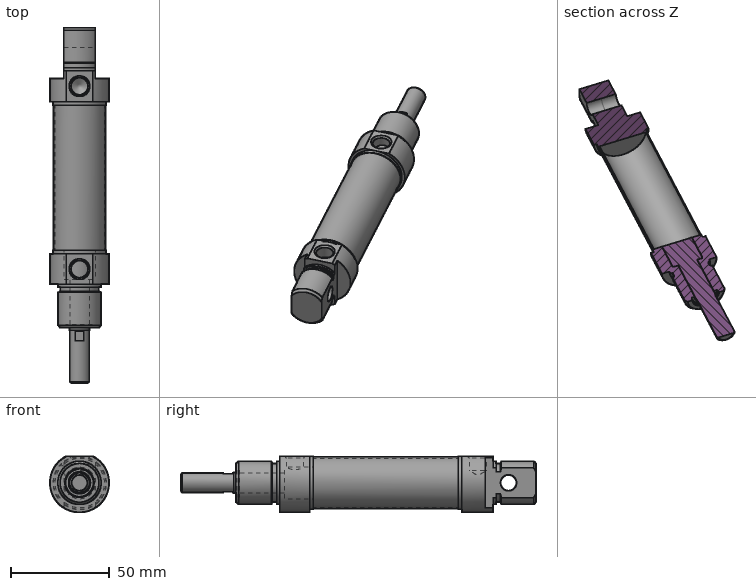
import cadquery as cq
import math


total_length = 180.0
nose_y = 27.9
front_head_y = 50.0
front_head_length = 15.3
rear_head_length = 15.8
rear_neck_length = 21.8
joint_step = 1.8

front_head_end = front_head_y + front_head_length
rear_head_end = total_length - rear_neck_length
rear_head_y = rear_head_end - rear_head_length
tube_start = front_head_end + joint_step
tube_end = rear_head_y - joint_step

tube_diameter = 26.5
tube_bore = 25.0
head_diameter = 30.0
step_diameter = 27.0
head_flat_z = 13.5

nose_diameter = 22.0
groove_diameter = 19.6
nose_chamfer = 1.5
clevis_chamfer = 1.3
groove_depth = (nose_diameter - groove_diameter) / 2
groove_width = 2.2
groove_ramp = 0.5
front_collar = 1.5
rear_collar = 1.5

clevis_width = 16.0
clevis_flat_length = 25.7
pivot_hole_diameter = 8.0
pivot_from_end = 14.0

port_diameter = 8.6
port_mouth_diameter = 10.5
port_chamfer = (port_mouth_diameter - port_diameter) / 2
port_tip_angle = 118.0
rear_port_depth = 7.2
front_port_y = front_head_y + front_head_length / 2
rear_port_y = rear_head_y + rear_head_length / 2

recess_diameter = 14.0
recess_depth = 1.8
recess_chamfer = 0.4
lip_base_diameter = 11.2
lip_tip_diameter = 10.5
lip_projection = 1.0

rod_diameter = 10.0
rod_tip_diameter = 8.0
rod_tip_chamfer = 0.7
rod_flat_width = 9.2
rod_flat_start = 21.5
rod_flat_end = 26.3
boss_diameter = 16.0
boss_start = front_port_y - port_mouth_diameter / 2


def revolve_profile(points):
    """Revolve a closed (radius, y) profile about the Y axis."""
    return cq.Workplane("XY").polyline(points).close().revolve(360, (0, 0, 0), (0, 1, 0))


def y_cylinder(diameter, start, end):
    return cq.Workplane("XZ", origin=(0, start, 0)).circle(diameter / 2).extrude(start - end)


def above_flat(flat_z, start, end):
    """Block covering everything above a horizontal flat between two stations."""
    return cq.Workplane("XY").box(
        head_diameter, end - start, head_diameter, centered=(True, False, False)
    ).translate((0, start, flat_z))


def port_cutter(y, bottom_z):
    """Vertical hole with a chamfered mouth, ending flat at bottom_z."""
    hole = (
        cq.Workplane("XY", origin=(0, y, bottom_z))
        .circle(port_diameter / 2)
        .extrude(head_flat_z - bottom_z)
    )
    mouth = cq.Solid.makeCone(
        port_diameter / 2, port_mouth_diameter / 2, port_chamfer,
        pnt=cq.Vector(0, y, head_flat_z - port_chamfer),
    )
    return hole.union(cq.Workplane(mouth))


def drill_tip(y, top_z):
    """Conical end of a drilled port, pointing down from top_z."""
    cone_height = port_diameter / 2 / math.tan(math.radians(port_tip_angle / 2))
    tip = cq.Solid.makeCone(
        port_diameter / 2, 0, cone_height, pnt=cq.Vector(0, y, top_z), dir=cq.Vector(0, 0, -1)
    )
    return cq.Workplane(tip)


def make_front_cap():
    groove_end = front_head_y - front_collar
    groove_start = groove_end - groove_width
    cap = revolve_profile([
        (0, nose_y),
        (nose_diameter / 2 - groove_depth, nose_y),
        (nose_diameter / 2, nose_y + nose_chamfer),
        (nose_diameter / 2, groove_start - groove_ramp),
        (groove_diameter / 2, groove_start),
        (groove_diameter / 2, groove_end),
        (nose_diameter / 2, groove_end),
        (nose_diameter / 2, front_head_y),
        (head_diameter / 2, front_head_y),
        (head_diameter / 2, front_head_end),
        (step_diameter / 2, front_head_end),
        (step_diameter / 2, tube_start),
        (0, tube_start),
    ])
    recess_floor = nose_y + recess_depth
    lip = revolve_profile([
        (0, nose_y - lip_projection),
        (lip_tip_diameter / 2, nose_y - lip_projection),
        (lip_tip_diameter / 2, nose_y),
        (lip_base_diameter / 2, recess_floor),
        (0, recess_floor),
    ])
    recess = revolve_profile([
        (0, nose_y),
        (recess_diameter / 2 + recess_chamfer, nose_y),
        (recess_diameter / 2, nose_y + recess_chamfer),
        (recess_diameter / 2, recess_floor),
        (0, recess_floor),
    ])
    cap = cap.cut(recess).union(lip)
    cap = cap.cut(above_flat(head_flat_z, front_head_y, front_head_end))
    cap = cap.cut(port_cutter(front_port_y, 0))
    cap = cap.cut(y_cylinder(rod_diameter, 0, boss_start))
    return cap.cut(y_cylinder(boss_diameter, boss_start, tube_start))


def make_tube():
    outside = y_cylinder(tube_diameter, tube_start, tube_end)
    return outside.cut(y_cylinder(tube_bore, tube_start, tube_end))


def make_rear_cap():
    groove_start = rear_head_end + rear_collar
    groove_end = groove_start + groove_width
    cap = revolve_profile([
        (0, tube_end),
        (step_diameter / 2, tube_end),
        (step_diameter / 2, rear_head_y),
        (head_diameter / 2, rear_head_y),
        (head_diameter / 2, rear_head_end),
        (nose_diameter / 2, rear_head_end),
        (nose_diameter / 2, groove_start),
        (groove_diameter / 2, groove_start),
        (groove_diameter / 2, groove_end),
        (nose_diameter / 2, groove_end + groove_ramp),
        (nose_diameter / 2, total_length - clevis_chamfer),
        (nose_diameter / 2 - clevis_chamfer, total_length),
        (0, total_length),
    ])
    cap = cap.cut(above_flat(head_flat_z, rear_head_y, rear_head_end))

    side_block = cq.Workplane("XY").box(
        head_diameter, clevis_flat_length, head_diameter, centered=(False, False, True)
    ).translate((clevis_width / 2, total_length - clevis_flat_length, 0))
    cap = cap.cut(side_block).cut(side_block.mirror("YZ"))

    pivot_hole = (
        cq.Workplane("YZ", origin=(0, total_length - pivot_from_end, 0))
        .circle(pivot_hole_diameter / 2)
        .extrude(clevis_width, both=True)
    )
    port_floor = head_flat_z - rear_port_depth
    cap = cap.cut(pivot_hole).cut(port_cutter(rear_port_y, port_floor))
    return cap.cut(drill_tip(rear_port_y, port_floor))


def make_rod():
    rod = revolve_profile([
        (0, 0),
        (rod_tip_diameter / 2, 0),
        (rod_diameter / 2, rod_tip_chamfer),
        (rod_diameter / 2, boss_start),
        (boss_diameter / 2, boss_start),
        (boss_diameter / 2, tube_start),
        (0, tube_start),
    ])
    flat_cutter = above_flat(rod_flat_width / 2, rod_flat_start, rod_flat_end)
    return rod.cut(flat_cutter).cut(flat_cutter.mirror("XY"))


front_cap = make_front_cap()
tube = make_tube()
rear_cap = make_rear_cap()
rod = make_rod()

result = cq.Compound.makeCompound([front_cap.val(), tube.val(), rear_cap.val(), rod.val()])